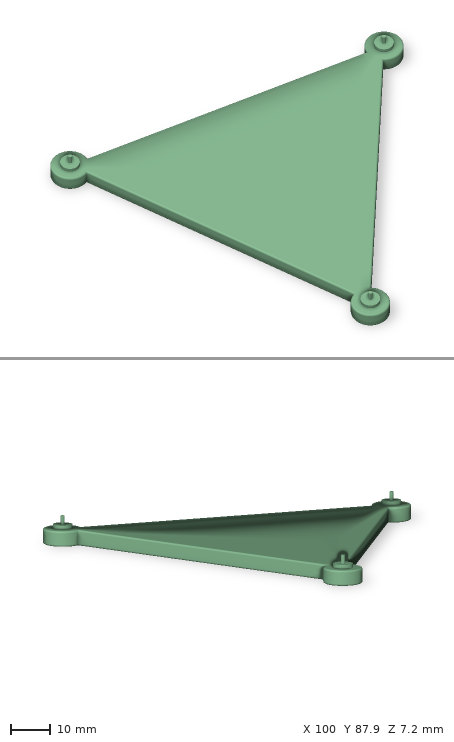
import cadquery as cq
import math

pad_radius = 5.0
pad_spacing = 90.0
plate_thickness = 4.0
edge_fillet = 0.5
disc_radius = 2.5
disc_height = 1.0
pin_radius = 0.5
pin_height = 2.2

corner_distance = pad_spacing / math.sqrt(3)
corners = [
    (corner_distance * math.cos(math.radians(angle)), corner_distance * math.sin(math.radians(angle)))
    for angle in (90, 210, 330)
]


def corner_cylinders(radius, height, base_z):
    """One upright cylinder at each corner of the triangle."""
    return cq.Workplane("XY").workplane(offset=base_z).pushPoints(corners).circle(radius).extrude(height)


def make_plate():
    """Triangular plate with round pads at its corners and rounded rims."""
    triangle = cq.Workplane("XY").polyline(corners).close().extrude(plate_thickness)
    outline = triangle.union(corner_cylinders(pad_radius, plate_thickness, 0))
    return outline.faces("<Z or >Z").edges().fillet(edge_fillet)


disc_top = plate_thickness + disc_height
discs = corner_cylinders(disc_radius, disc_height, plate_thickness)
pins = corner_cylinders(pin_radius, pin_height, disc_top)

result = make_plate().union(discs).union(pins)